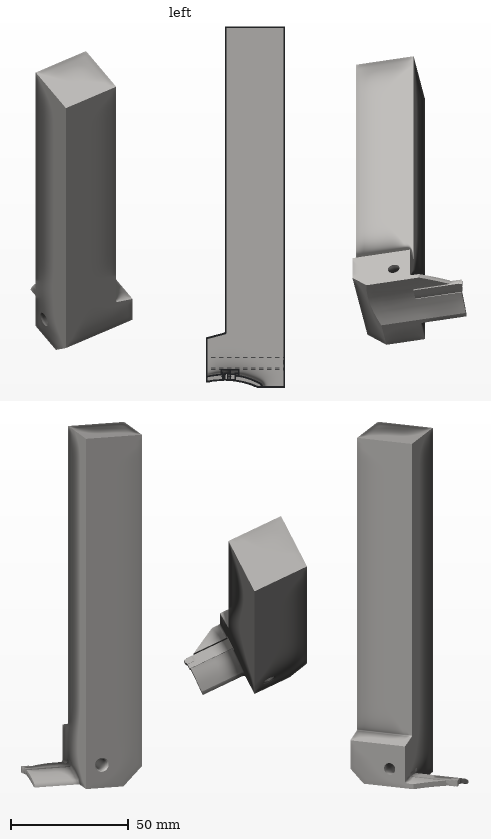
import cadquery as cq
import math

height = 153.0
shank_width = 25.0
head_depth = 33.0
head_height = 20.8
head_slope = 15.0
head_fillet = 0.6
corner_chamfer = 8.3

hole_x = 7.0
hole_z = 10.1
hole_diameter = 5.0
countersink_diameter = 6.1

blade_length = 19.9
blade_crown_y = 25.4
blade_top_z = 5.4
blade_bottom_z = 3.0
blade_top_radius = 32.1
blade_bottom_radius = 34.0
blade_front_y = 9.3
blade_edge_width = 1.0
blade_edge_bulge = 0.2
blade_fillet = 0.9
jaw_tip_length = 15.9
jaw_rear_length = 3.8

seat_front_y = 20.8
seat_rear_y = 26.2
insert_rear_y = 25.5
insert_length = 20.4
insert_top_z = 5.5
insert_bottom_z = 3.0
tip_reach = 21.0
tip_length = 3.5
tip_width = 2.3
tip_flat_width = 1.2
tip_top_z = 5.8
rake_length = 1.2
rake_drop = 0.3

relief_front_y = 19.5
relief_rear_y = 26.8
relief_top_z = 7.3
relief_depth = 3.8
relief_floor_z = 4.6
relief_nose_y = 23.0
relief_nose_radius = 3.2

face_margin = 0.02


def arc_height(y, crown_z, radius):
    """Height at y of an arc that has its crown at blade_crown_y."""
    return crown_z - radius + math.sqrt(radius**2 - (y - blade_crown_y) ** 2)


def box(x_range, y_range, z_range):
    """Axis-aligned box between the given limits."""
    sizes = [high - low for low, high in (x_range, y_range, z_range)]
    corner = (x_range[0], y_range[0], z_range[0])
    return cq.Workplane("XY").box(*sizes, centered=False).translate(corner)


def make_shank():
    """Square shank with a thicker head, a chamfered corner and the clamp screw hole."""
    slope_rise = (head_depth - shank_width) * math.tan(math.radians(head_slope))
    blank = (
        cq.Workplane("YZ")
        .polyline([
            (0, 0),
            (head_depth, 0),
            (head_depth, head_height),
            (shank_width, head_height + slope_rise),
            (shank_width, height),
            (0, height),
        ])
        .close()
        .extrude(shank_width)
    )
    inner_corner = cq.selectors.NearestToPointSelector(
        (shank_width / 2, shank_width, head_height + slope_rise)
    )
    shank = (
        blank.edges(inner_corner)
        .fillet(head_fillet)
        .edges("|Y and >X and <Z")
        .chamfer(corner_chamfer)
    )
    sink_depth = (countersink_diameter - hole_diameter) / 2
    hole = (
        cq.Workplane("XZ")
        .center(hole_x, hole_z)
        .circle(hole_diameter / 2)
        .extrude(-head_depth)
    )
    sink = cq.Solid.makeCone(
        countersink_diameter / 2, hole_diameter / 2, sink_depth,
        pnt=cq.Vector(hole_x, 0, hole_z), dir=cq.Vector(0, 1, 0),
    )
    return shank.cut(hole).cut(cq.Workplane(sink))


def make_blade():
    """Curved blade with a rounded front edge and an angled rear jaw."""
    edge_y = blade_front_y + blade_edge_width
    edge_z = arc_height(edge_y, blade_top_z, blade_top_radius)
    edge_slope = math.atan2(edge_z, blade_edge_width)
    edge_middle = (
        (blade_front_y + edge_y) / 2 - blade_edge_bulge * math.sin(edge_slope),
        edge_z / 2 + blade_edge_bulge * math.cos(edge_slope),
    )
    blade = (
        cq.Workplane("YZ")
        .moveTo(blade_front_y, 0)
        .threePointArc(edge_middle, (edge_y, edge_z))
        .threePointArc(
            (blade_crown_y, blade_top_z),
            (head_depth, arc_height(head_depth, blade_top_z, blade_top_radius)),
        )
        .lineTo(head_depth, 0)
        .close()
        .extrude(-blade_length)
    )
    jaw_cut = (
        cq.Workplane("XY")
        .polyline([
            (-jaw_tip_length, seat_rear_y),
            (-jaw_rear_length, head_depth),
            (-blade_length, head_depth),
            (-blade_length, seat_rear_y),
        ])
        .close()
        .extrude(height)
    )
    return blade.cut(jaw_cut)


def add_root_fillet(body):
    """Round the corner where the blade top meets the shank face."""
    root_edges = cq.selectors.BoxSelector(
        (-face_margin, blade_front_y, 0),
        (face_margin, head_depth, blade_top_z),
    )
    return body.edges(root_edges).fillet(blade_fillet)


def make_underside_cut():
    """Cylinder that hollows the underside along the whole of X."""
    return (
        cq.Workplane("YZ", origin=(-blade_length, 0, 0))
        .center(blade_crown_y, blade_bottom_z - blade_bottom_radius)
        .circle(blade_bottom_radius)
        .extrude(blade_length + shank_width)
    )


def make_relief():
    """Pocket in the holder face, with a rounded nose left standing at its rear."""
    nose_x = relief_depth - relief_nose_radius
    nose_center_y = relief_nose_y + relief_nose_radius
    diagonal = relief_nose_radius * math.sqrt(0.5)
    return (
        cq.Workplane("XY", origin=(0, 0, relief_floor_z))
        .moveTo(0, relief_front_y)
        .lineTo(relief_depth, relief_front_y)
        .lineTo(relief_depth, relief_nose_y)
        .threePointArc(
            (relief_depth - diagonal, nose_center_y - diagonal),
            (nose_x, nose_center_y),
        )
        .lineTo(nose_x, relief_rear_y)
        .lineTo(0, relief_rear_y)
        .close()
        .extrude(relief_top_z - relief_floor_z)
    )


def make_holder():
    """Shank and blade in one piece, cut open for the insert."""
    seat = box((-blade_length, 0), (seat_front_y, seat_rear_y), (0, relief_top_z))
    holder = add_root_fillet(make_shank().union(make_blade()))
    return holder.cut(make_underside_cut()).cut(seat).cut(make_relief())


def make_insert():
    """Straight bar in the seat with a narrower cutting tip at its free end."""
    bar = box(
        (-insert_length, 0),
        (seat_front_y, insert_rear_y),
        (insert_bottom_z, insert_top_z),
    )
    tip_rear_y = insert_rear_y - rake_drop
    tip_front_y = tip_rear_y - tip_width
    tip = (
        cq.Workplane("XY", origin=(0, 0, insert_bottom_z))
        .polyline([
            (-tip_reach, tip_rear_y),
            (tip_length - tip_reach, tip_rear_y),
            (tip_length - tip_reach, tip_front_y),
            (-insert_length, tip_front_y),
            (-tip_reach, tip_rear_y - tip_flat_width),
        ])
        .close()
        .extrude(tip_top_z - insert_bottom_z)
    )
    rake_cut = box(
        (-tip_reach, rake_length - tip_reach),
        (tip_rear_y, insert_rear_y),
        (insert_bottom_z, tip_top_z),
    )
    return bar.union(tip).cut(rake_cut)


holder = make_holder()
insert = make_insert()
result = cq.Compound.makeCompound([holder.val(), insert.val()])